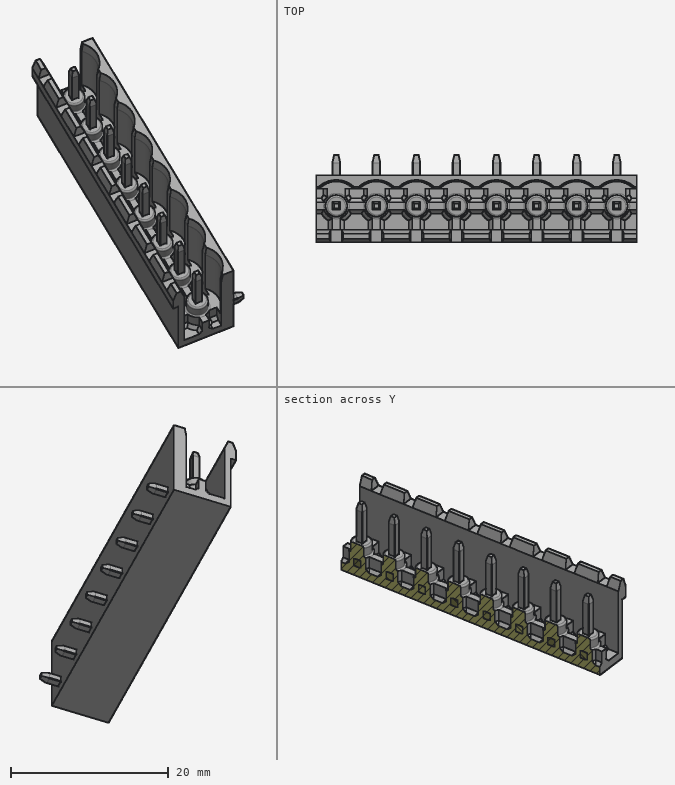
import cadquery as cq
length = 40.65
pin_count = 8
pitch = length / pin_count
pin_places = [(i - (pin_count - 1) / 2) * pitch for i in range(pin_count)]

height = 12.0
back_y = 3.9
front_y = -back_y
floor_z = 1.2
back_wall = 1.7
front_wall = 0.85
back_inner_y = back_y - back_wall
front_inner_y = front_y + front_wall

lead_in = 0.2
lead_in_height = 1.35

latch_reach = 0.75
latch_bottom_z = 8.95
latch_shoulder_z = 10.65
latch_tip_width = 0.6
latch_tip_inset = 0.5
latch_y = front_y - latch_reach
latch_tip_y = front_inner_y - latch_tip_inset

notch_floor_width = 1.4
notch_top_width = 1.83

scallop_radius = 3.0
scallop_wall = 0.8
scallop_y = back_y - scallop_wall - scallop_radius

rib_top_z = 3.37
cross_rib_width = 0.98
front_rib_width = 1.0
back_rib_width = 2.28
pedestal_radius = 1.63
foot_chamfer = 0.5

collar_round = 0.25
collar_radius = pedestal_radius - collar_round
collar_top_z = 5.0

pin_width = 1.0
pin_edge_chamfer = 0.1
pin_tip_width = 0.55
pin_tip_length = 0.98
pin_top_z = 10.75
tail_z = 2.05
tail_reach = 2.55
tail_end_y = back_y + tail_reach


def make_channel():
    """U-shaped profile with the latch and the lead-in bevel, extruded along the row."""
    profile = [
        (back_y, 0),
        (back_y, height),
        (back_inner_y + lead_in, height),
        (back_inner_y, height - lead_in_height),
        (back_inner_y, floor_z),
        (front_inner_y, floor_z),
        (front_inner_y, latch_shoulder_z),
        (latch_tip_y, height),
        (latch_tip_y - latch_tip_width, height),
        (latch_y, latch_shoulder_z),
        (latch_y, latch_bottom_z),
        (front_y, latch_bottom_z),
        (front_y, 0),
    ]
    return cq.Workplane("YZ").polyline(profile).close().extrude(length / 2, both=True)


def make_scallop(x):
    """Round cutter for the back wall that flares out over the lead-in height."""
    shaft = (
        cq.Workplane("XY", origin=(x, scallop_y, rib_top_z))
        .circle(scallop_radius)
        .extrude(height - rib_top_z)
    )
    flare = cq.Workplane(
        cq.Solid.makeCone(
            scallop_radius,
            scallop_radius + lead_in,
            lead_in_height,
            pnt=cq.Vector(x, scallop_y, height - lead_in_height),
        )
    )
    behind_pins = (
        cq.Workplane("XY", origin=(x, back_y / 2, rib_top_z))
        .rect(pitch, back_y)
        .extrude(height - rib_top_z)
    )
    return shaft.union(flare).intersect(behind_pins)


def make_notch(x):
    """Trapezoid cutter, wider at the top, through the latch in front of a pin."""
    profile = [
        (x - notch_floor_width / 2, latch_shoulder_z),
        (x + notch_floor_width / 2, latch_shoulder_z),
        (x + notch_top_width / 2, height),
        (x - notch_top_width / 2, height),
    ]
    return (
        cq.Workplane("XZ", origin=(0, front_inner_y, 0))
        .polyline(profile)
        .close()
        .extrude(front_inner_y - latch_y)
    )


def make_footed_rib(width, rib_length):
    """Rib along Y from y = 0, with a 45 degree chamfer out to the floor along each side."""
    half = width / 2
    profile = [
        (half, rib_top_z),
        (half, floor_z + foot_chamfer),
        (half + foot_chamfer, floor_z),
        (half + foot_chamfer, 0),
        (-half - foot_chamfer, 0),
        (-half - foot_chamfer, floor_z),
        (-half, floor_z + foot_chamfer),
        (-half, rib_top_z),
    ]
    return cq.Workplane("XZ").polyline(profile).close().extrude(-rib_length)


def make_cross_rib():
    """Rib along the whole row under the pins."""
    rib = make_footed_rib(cross_rib_width, length)
    return rib.translate((0, -length / 2, 0)).rotate((0, 0, 0), (0, 0, 1), 90)


def make_pedestal(x):
    """Round pedestal with its foot, the collar on top and the ribs to both walls."""
    turned_profile = (
        cq.Workplane("XZ")
        .moveTo(0, 0)
        .lineTo(pedestal_radius + foot_chamfer, 0)
        .lineTo(pedestal_radius + foot_chamfer, floor_z)
        .lineTo(pedestal_radius, floor_z + foot_chamfer)
        .lineTo(pedestal_radius, rib_top_z)
        .radiusArc((collar_radius, rib_top_z + collar_round), collar_round)
        .lineTo(collar_radius, collar_top_z - collar_round)
        .radiusArc((collar_radius - collar_round, collar_top_z), -collar_round)
        .lineTo(0, collar_top_z)
        .close()
    )
    pedestal = turned_profile.revolve(360, (0, 0, 0), (0, 1, 0))
    back_rib = make_footed_rib(back_rib_width, back_inner_y)
    front_rib = make_footed_rib(front_rib_width, front_inner_y)
    return pedestal.union(back_rib).union(front_rib).translate((x, 0, 0))


def make_arm(arm_length):
    """Upright square bar from the origin with chamfered long edges and a tapered end."""
    shank_length = arm_length - pin_tip_length
    shank = cq.Workplane("XY").rect(pin_width, pin_width).extrude(shank_length)
    tip = (
        cq.Workplane("XY", origin=(0, 0, shank_length))
        .rect(pin_width, pin_width)
        .workplane(offset=pin_tip_length)
        .rect(pin_tip_width, pin_tip_width)
        .loft()
    )
    chamfered_bar = (
        cq.Workplane("XY")
        .rect(pin_width, pin_width)
        .extrude(arm_length)
        .edges("|Z")
        .chamfer(pin_edge_chamfer)
    )
    return shank.union(tip).intersect(chamfered_bar)


def make_pin(x):
    """Bent pin: a contact standing up and a tail leaving through the back wall."""
    half = pin_width / 2
    contact_start_z = tail_z - half
    contact = make_arm(pin_top_z - contact_start_z).translate((0, 0, contact_start_z))
    tail = (
        make_arm(tail_end_y + half)
        .rotate((0, 0, 0), (1, 0, 0), -90)
        .translate((0, -half, tail_z))
    )
    return contact.union(tail).translate((x, 0, 0))


def make_housing(pins):
    """Channel with its scallops, notches and floor ribs, and a matching hole for every pin."""
    housing = make_channel().union(make_cross_rib())
    for x in pin_places:
        housing = housing.cut(make_scallop(x)).cut(make_notch(x)).union(make_pedestal(x))
    for pin in pins:
        housing = housing.cut(pin)
    return housing


pins = [make_pin(x) for x in pin_places]
housing = make_housing(pins)

result = cq.Compound.makeCompound([housing.val(), *[pin.val() for pin in pins]])